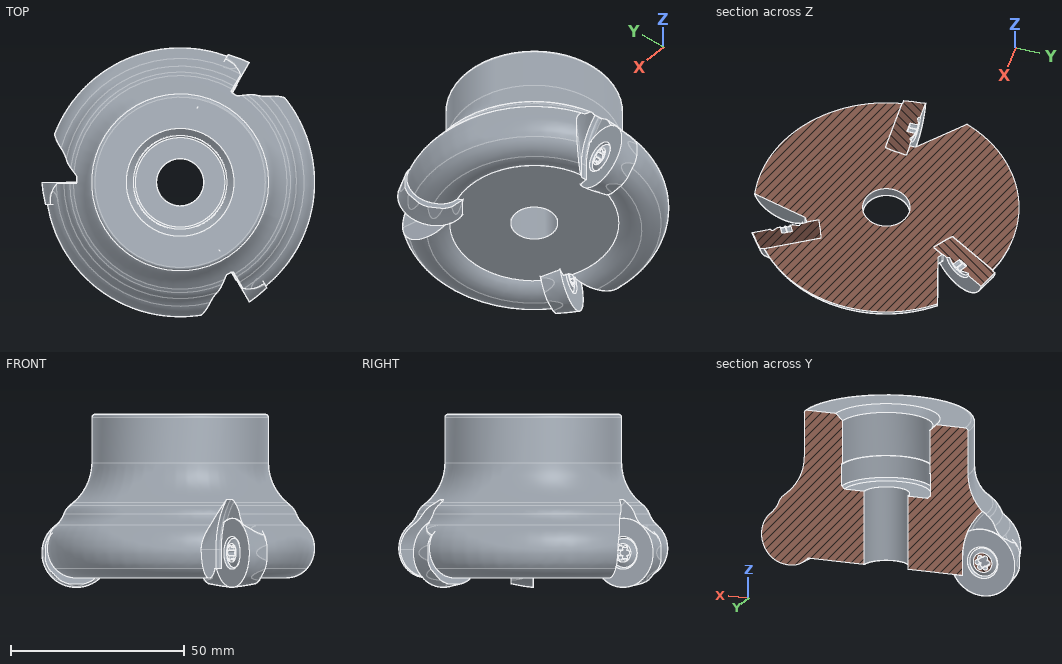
import cadquery as cq
import math

TOTAL_HEIGHT = 50.0
INSERT_COUNT = 3
INSERT_PITCH = 360 / INSERT_COUNT

INSERT_RADIUS = 10.0
INSERT_THICKNESS = 6.45
INSERT_RELIEF_ANGLE = 7.0
INSERT_CENTRE_RADIUS = 29.9
INSERT_CENTRE_Z = INSERT_RADIUS

FLAT_COUNT = 8
FLAT_ANGLE = 11.0
FLAT_START_DEPTH = 2.6

SCREW_RECESS_DIAMETER = 9.45
SCREW_HEAD_DIAMETER = 8.4
SCREW_TOP_DIAMETER = 5.35
SCREW_RECESS_DEPTH = 0.6
SCREW_TOP_RISE = 0.15
SOCKET_CORE_RADIUS = 1.6
SOCKET_LOBE_COUNT = 6
SOCKET_LOBE_RADIUS = 0.7
SOCKET_DEPTH = 2.4

COLLAR_RADIUS = 51.0 / 2
COLLAR_FILLET = 0.95
COLLAR_BOTTOM_Z = 36.0
NECK_RADIUS = 14.95
NECK_END_Z = 24.55
NECK_TAPER_END_Z = 23.7
SHOULDER_POINT = (33.5, 21.25)
LOBE_TOP_POINT = (35.7, 18.0)
LOBE_OUTER_POINT = (38.8, 11.25)
LOBE_BOTTOM_POINT = (36.6, 5.4)
UNDERSIDE_ARC_POINT = (34.1, 3.55)
RIM_POINT = (31.0, 2.75)
UNDERSIDE_INNER_ARC_POINT = (27.4, 3.2)
UNDERSIDE_RADIUS = 24.4
UNDERSIDE_Z = 5.4

BORE_RADIUS = 27.0 / 2
BORE_CHAMFER = 2.05
BORE_RELIEF_RADIUS = 27.5 / 2
BORE_RELIEF_TOP_Z = 34.95
BORE_FLOOR_Z = 27.55
BORE_FLOOR_RADIUS = 12.9
THROUGH_HOLE_RADIUS = 13.5 / 2

GULLET_FLOOR_RADIUS = 23.6
GULLET_FACE_OFFSET = 0.4
GULLET_CORNER_RADIUS = 0.8
GULLET_FLOOR_WIDTH = 1.7
GULLET_WALL_ANGLE = 44.0
GULLET_STRAIGHT_TOP_Z = 10.9
GULLET_RUNOUT_RADIUS = 20.0
GULLET_AXIS_X = -(GULLET_FLOOR_RADIUS + GULLET_RUNOUT_RADIUS)


def make_body_blank():
    """Revolved cutter body with its stepped bore."""
    neck_angle = math.asin((COLLAR_BOTTOM_Z - NECK_END_Z) / NECK_RADIUS)
    neck_end_radius = COLLAR_RADIUS + NECK_RADIUS * (1 - math.cos(neck_angle))
    taper_end_radius = neck_end_radius + (NECK_END_Z - NECK_TAPER_END_Z) * math.tan(neck_angle)
    floor_bevel = BORE_RELIEF_RADIUS - BORE_FLOOR_RADIUS
    profile = (
        cq.Workplane("XZ")
        .moveTo(BORE_RADIUS + BORE_CHAMFER, TOTAL_HEIGHT)
        .lineTo(COLLAR_RADIUS - COLLAR_FILLET, TOTAL_HEIGHT)
        .tangentArcPoint((COLLAR_RADIUS, TOTAL_HEIGHT - COLLAR_FILLET), relative=False)
        .lineTo(COLLAR_RADIUS, COLLAR_BOTTOM_Z)
        .tangentArcPoint((neck_end_radius, NECK_END_Z), relative=False)
        .lineTo(taper_end_radius, NECK_TAPER_END_Z)
        .tangentArcPoint(SHOULDER_POINT, relative=False)
        .tangentArcPoint(LOBE_TOP_POINT, relative=False)
        .threePointArc(LOBE_OUTER_POINT, LOBE_BOTTOM_POINT)
        .threePointArc(UNDERSIDE_ARC_POINT, RIM_POINT)
        .threePointArc(UNDERSIDE_INNER_ARC_POINT, (UNDERSIDE_RADIUS, UNDERSIDE_Z))
        .lineTo(THROUGH_HOLE_RADIUS, UNDERSIDE_Z)
        .lineTo(THROUGH_HOLE_RADIUS, BORE_FLOOR_Z)
        .lineTo(BORE_FLOOR_RADIUS, BORE_FLOOR_Z)
        .lineTo(BORE_RELIEF_RADIUS, BORE_FLOOR_Z + floor_bevel)
        .lineTo(BORE_RELIEF_RADIUS, BORE_RELIEF_TOP_Z)
        .lineTo(BORE_RADIUS, BORE_RELIEF_TOP_Z)
        .lineTo(BORE_RADIUS, TOTAL_HEIGHT - BORE_CHAMFER)
        .close()
    )
    return profile.revolve(360, (0, 0, 0), (0, 1, 0))


def gullet_profile():
    """Horizontal section of the gullet on the -X side: cutting face wall, floor and sloping back wall."""
    floor_x = -GULLET_FLOOR_RADIUS
    wall_end_y = GULLET_FLOOR_WIDTH + GULLET_RUNOUT_RADIUS * math.tan(math.radians(GULLET_WALL_ANGLE))
    return (
        cq.Workplane("XY", origin=(0, 0, GULLET_STRAIGHT_TOP_Z))
        .moveTo(GULLET_AXIS_X, wall_end_y)
        .lineTo(floor_x, GULLET_FLOOR_WIDTH)
        .lineTo(floor_x, GULLET_CORNER_RADIUS - GULLET_FACE_OFFSET)
        .tangentArcPoint((floor_x - GULLET_CORNER_RADIUS, -GULLET_FACE_OFFSET), relative=False)
        .lineTo(GULLET_AXIS_X, -GULLET_FACE_OFFSET)
        .close()
    )


def make_gullet():
    """Cutter for one gullet: a straight lower part and a part that curves outwards above it."""
    straight = gullet_profile().extrude(-GULLET_STRAIGHT_TOP_Z)
    runout = gullet_profile().revolve(90, (GULLET_AXIS_X, 0.8, 0), (GULLET_AXIS_X, 0, 0))
    return straight.union(runout)


def insert_plane():
    """Workplane on the cutting face of the insert on the -X side, facing +Y."""
    origin = (-INSERT_CENTRE_RADIUS, 0, INSERT_CENTRE_Z)
    return cq.Workplane(cq.Plane(origin=origin, xDir=(-1, 0, 0), normal=(0, 1, 0)))


def make_insert_blank():
    """Tapered round disc with the locating flats, without the screw recess."""
    back_radius = INSERT_RADIUS - INSERT_THICKNESS * math.tan(math.radians(INSERT_RELIEF_ANGLE))
    disc = cq.Solid.makeCone(INSERT_RADIUS, back_radius, INSERT_THICKNESS)

    flat_start_radius = INSERT_RADIUS - FLAT_START_DEPTH * math.tan(math.radians(INSERT_RELIEF_ANGLE))
    flat_run = INSERT_THICKNESS - FLAT_START_DEPTH
    flat_inset = flat_run * math.tan(math.radians(FLAT_ANGLE))
    flat_cutter = (
        cq.Workplane("XZ")
        .polyline(
            [
                (flat_start_radius, FLAT_START_DEPTH),
                (flat_start_radius - flat_inset, INSERT_THICKNESS),
                (INSERT_RADIUS, INSERT_THICKNESS),
                (INSERT_RADIUS, FLAT_START_DEPTH),
            ]
        )
        .close()
        .extrude(INSERT_RADIUS / 2, both=True)
    )
    blank = cq.Workplane(disc)
    for index in range(FLAT_COUNT):
        blank = blank.cut(flat_cutter.rotate((0, 0, 0), (0, 0, 1), index * 360 / FLAT_COUNT))

    blank = blank.rotate((0, 0, 0), (1, 0, 0), 90)
    return blank.translate((-INSERT_CENTRE_RADIUS, 0, INSERT_CENTRE_Z))


def insert_cone(depth, base_diameter, height, end_diameter):
    """Truncated cone on the insert axis, rising from the given depth below the cutting face."""
    return (
        insert_plane()
        .workplane(offset=-depth)
        .circle(base_diameter / 2)
        .workplane(offset=height)
        .circle(end_diameter / 2)
        .loft(ruled=True)
    )


def make_socket():
    """Cutter for the six-lobe screw socket."""
    socket_top = insert_plane().workplane(offset=SCREW_TOP_RISE)
    core = socket_top.circle(SOCKET_CORE_RADIUS).extrude(-SOCKET_DEPTH)
    lobes = (
        socket_top.polarArray(SOCKET_CORE_RADIUS, 0, 360, SOCKET_LOBE_COUNT)
        .circle(SOCKET_LOBE_RADIUS)
        .extrude(-SOCKET_DEPTH)
    )
    return core.union(lobes)


def make_insert():
    """One round insert with its screw: a countersink with a raised conical screw head inside it."""
    countersink = insert_cone(
        SCREW_RECESS_DEPTH, SCREW_HEAD_DIAMETER, SCREW_RECESS_DEPTH, SCREW_RECESS_DIAMETER
    )
    head_height = SCREW_RECESS_DEPTH + SCREW_TOP_RISE
    screw_head = insert_cone(SCREW_RECESS_DEPTH, SCREW_HEAD_DIAMETER, head_height, SCREW_TOP_DIAMETER)
    return make_insert_blank().cut(countersink).union(screw_head).cut(make_socket())


def around_axis(shape, index):
    """The shape turned to the given insert station."""
    return shape.rotate((0, 0, 0), (0, 0, 1), index * INSERT_PITCH)


body = make_body_blank()
gullet = make_gullet()
insert_pocket = make_insert_blank()
insert = make_insert()
inserts = []
for station in range(INSERT_COUNT):
    body = body.cut(around_axis(gullet, station))
    body = body.cut(around_axis(insert_pocket, station))
    inserts.append(around_axis(insert, station).val())

result = cq.Compound.makeCompound([body.val(), *inserts])